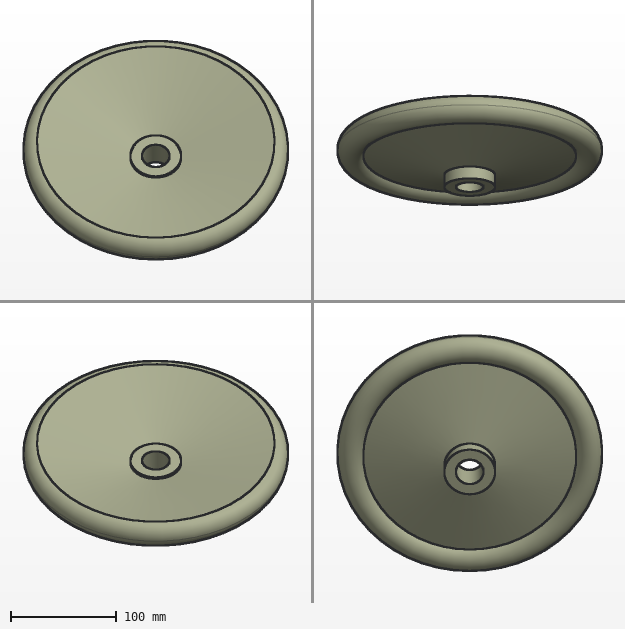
import cadquery as cq
import math

outer_radius = 125.0
total_height = 50.0

rim_round = 13.0
rim_center_radius = outer_radius - rim_round
rim_center_z = total_height - rim_round

hub_radius = 24.0
bore_radius = 13.0
hub_top_z = 28.0

web_top_at_hub_z = 26.0
web_bottom_at_hub_z = 12.0
web_bottom_slope = 0.25


def web_rim_junction():
    """Point (radius, z) where the underside cone first meets the round rim."""
    cone_angle = math.atan(web_bottom_slope)
    cone_z = web_bottom_at_hub_z + web_bottom_slope * (rim_center_radius - hub_radius)
    center_offset = (rim_center_z - cone_z) * math.cos(cone_angle)
    direction = 1.5 * math.pi + cone_angle - math.acos(center_offset / rim_round)
    return (
        rim_center_radius + rim_round * math.cos(direction),
        rim_center_z + rim_round * math.sin(direction),
    )


profile = (
    cq.Workplane("XZ")
    .moveTo(bore_radius, 0)
    .lineTo(hub_radius, 0)
    .lineTo(hub_radius, web_bottom_at_hub_z)
    .lineTo(*web_rim_junction())
    .threePointArc((rim_center_radius, rim_center_z - rim_round), (outer_radius, rim_center_z))
    .threePointArc(
        (
            rim_center_radius + rim_round * math.sqrt(0.5),
            rim_center_z + rim_round * math.sqrt(0.5),
        ),
        (rim_center_radius, total_height),
    )
    .lineTo(hub_radius, web_top_at_hub_z)
    .lineTo(hub_radius, hub_top_z)
    .lineTo(bore_radius, hub_top_z)
    .close()
)

result = profile.revolve(360, (0, 0, 0), (0, 1, 0))